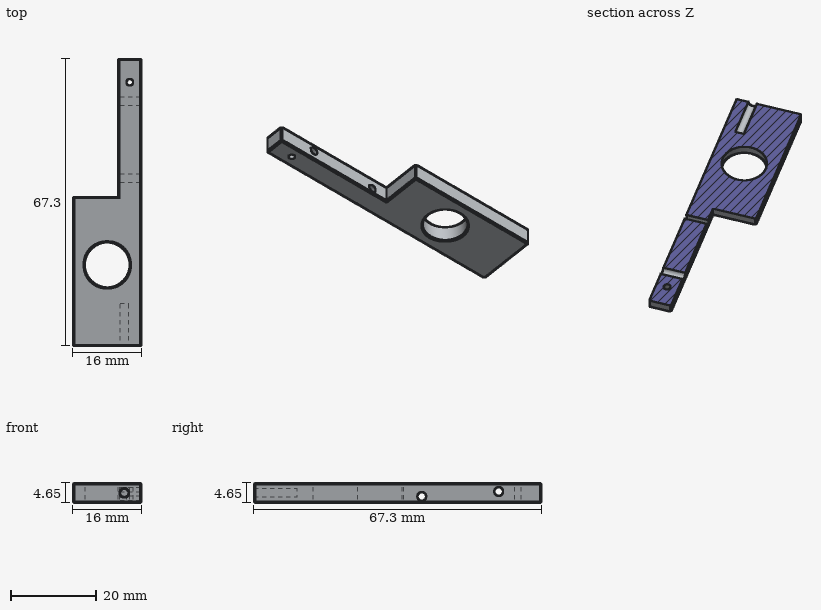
import cadquery as cq

width = 16.0
length = 67.25
thickness = 4.65
edge_chamfer = 0.3

base_length = 34.93
arm_width = 5.45
arm_left = width - arm_width

bore_diameter = 10.5
bore_x = width / 2
bore_y = 19.0
bore_chamfer = 0.3

tip_hole_diameter = 1.5
tip_hole_x = arm_left + arm_width / 2
tip_hole_end_distance = 5.5
tip_hole_y = length - tip_hole_end_distance

cross_hole_diameter = 2.0
cross_holes = [(10.0, 2.65), (28.0, 1.5)]

end_hole_diameter = 2.0
end_hole_chamfer = 0.1
end_hole_x = 12.0
end_hole_z = thickness / 2
end_hole_depth = 10.0


def make_body():
    """L-shaped plate with every outer edge chamfered; the inner corner stays sharp."""
    outline = [
        (0, 0),
        (width, 0),
        (width, length),
        (arm_left, length),
        (arm_left, base_length),
        (0, base_length),
    ]
    body = cq.Workplane("XY").polyline(outline).close().extrude(thickness)
    inner_corner = cq.selectors.NearestToPointSelector((arm_left, base_length, thickness / 2))
    vertical_edges = cq.selectors.ParallelDirSelector(cq.Vector(0, 0, 1))
    body = body.edges(vertical_edges - inner_corner).chamfer(edge_chamfer)
    return body.faces("<Z or >Z").edges().chamfer(edge_chamfer)


def cut_bore(body):
    """Through bore with a chamfered rim on both faces."""
    bore = cq.Workplane("XY").center(bore_x, bore_y).circle(bore_diameter / 2).extrude(thickness)
    body = body.cut(bore)
    return body.faces("<Z or >Z").edges("%CIRCLE").chamfer(bore_chamfer)


def cut_tip_hole(body):
    """Vertical through hole near the free end of the arm."""
    hole = cq.Workplane("XY").center(tip_hole_x, tip_hole_y).circle(tip_hole_diameter / 2)
    return body.cut(hole.extrude(thickness))


def cut_cross_holes(body):
    """Through holes along X, side to side across the arm."""
    for tip_distance, height in cross_holes:
        hole = cq.Workplane("YZ").center(length - tip_distance, height).circle(cross_hole_diameter / 2)
        body = body.cut(hole.extrude(width))
    return body


def cut_end_hole(body):
    """Blind hole along Y with a small chamfer at its mouth."""
    hole = cq.Workplane("XZ").center(end_hole_x, end_hole_z).circle(end_hole_diameter / 2)
    body = body.cut(hole.extrude(-end_hole_depth))
    return body.faces("<Y").edges("%CIRCLE").chamfer(end_hole_chamfer)


result = make_body()
result = cut_bore(result)
result = cut_tip_hole(result)
result = cut_cross_holes(result)
result = cut_end_hole(result)